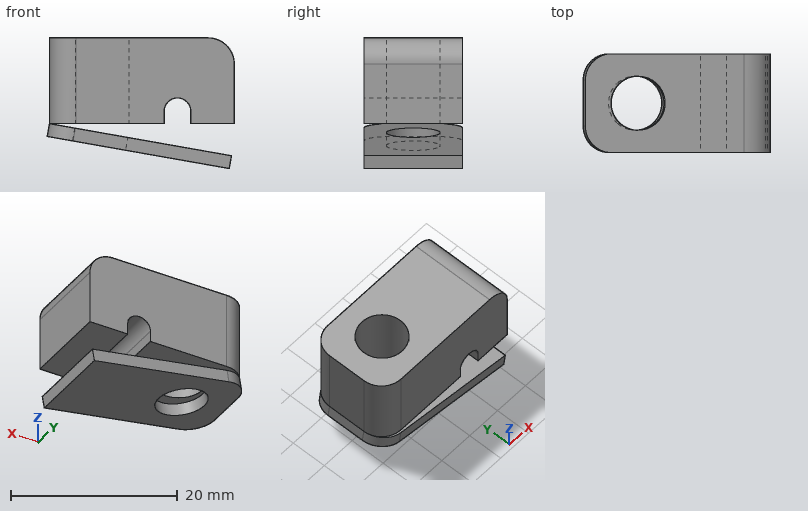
import cadquery as cq

length = 22.23
width = 11.88
corner_radius = 3.17
hole_diameter = 6.48
hole_from_end = 2 * corner_radius

block_height = 10.3
slot_width = corner_radius
slot_height = 3.05
slot_center_x = 15.4

plate_thickness = corner_radius / 2
plate_tilt = 10


def drilled_slab(bottom_z, thickness):
    """Slab with rounded -X corners and a through hole near that end."""
    slab = (
        cq.Workplane("XY")
        .box(length, width, thickness, centered=(False, True, False))
        .edges("|Z and <X")
        .fillet(corner_radius)
    )
    hole = (
        cq.Workplane("XY")
        .center(hole_from_end, 0)
        .circle(hole_diameter / 2)
        .extrude(thickness)
    )
    return slab.cut(hole).translate((0, 0, bottom_z))


def cross_slot():
    """Round-topped slot, open at the bottom, running across the block."""
    slot_radius = slot_width / 2
    spring_height = slot_height - slot_radius
    return (
        cq.Workplane("XZ")
        .moveTo(slot_center_x - slot_radius, 0)
        .lineTo(slot_center_x - slot_radius, spring_height)
        .threePointArc(
            (slot_center_x, slot_height),
            (slot_center_x + slot_radius, spring_height),
        )
        .lineTo(slot_center_x + slot_radius, 0)
        .close()
        .extrude(width / 2, both=True)
    )


def make_block():
    """Block with a rounded upper +X edge and a slot in its underside."""
    rounded = drilled_slab(0, block_height).edges("|Y and >X and >Z").fillet(corner_radius)
    return rounded.cut(cross_slot())


def make_plate():
    """Flat plate below the block, tilted about the edge where they touch."""
    flat_plate = drilled_slab(-plate_thickness, plate_thickness)
    return flat_plate.rotate((0, 0, 0), (0, 1, 0), plate_tilt)


block = make_block()
plate = make_plate()

result = cq.Compound.makeCompound([block.val(), plate.val()])